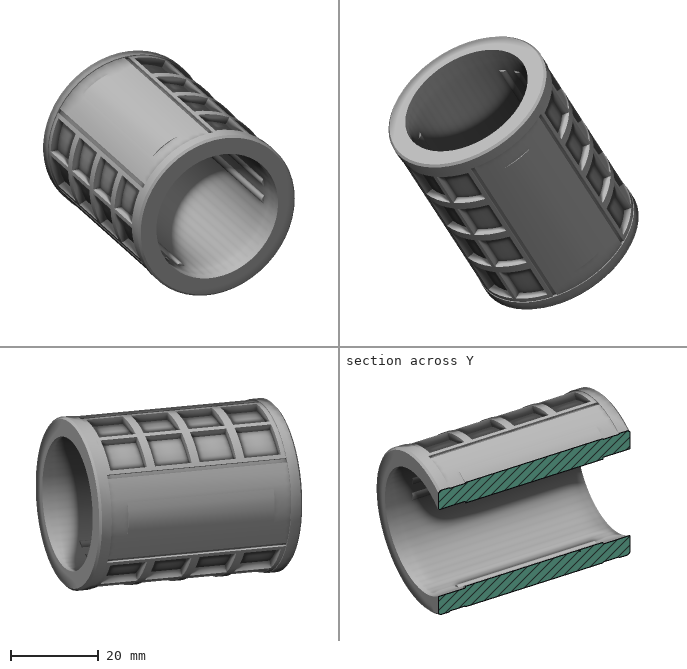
import cadquery as cq
import math

length = 50.0
flange_radius = 20.0
body_radius = 19.8
bore_radius = 15.5
flange_width = 2.9
rim_chamfer = 0.5

sector_count = 3
sector_angle = 360.0 / sector_count
pad_angles = [i * sector_angle for i in range(sector_count)]
grid_angles = [angle + sector_angle / 2 for angle in pad_angles]

pad_length = 36.0
pad_width = 8.0

pocket_floor_radius = 18.0
pocket_length = 9.0
pocket_pitch = 11.0
pockets_per_row = 4
grid_half_angle = 25.7
rib_width = 1.0

groove_width = 1.0
groove_depth = 0.5
groove_offset_angle = sector_angle / 4

bead_length = 36.0
bead_radius = 1.25
bead_tip_radius = 15.0
bead_offset_angle = 8.0

body_length = length - 2 * flange_width


def cylinder(radius, x_length):
    """Solid cylinder on the X axis, centred on X = 0."""
    return cq.Workplane("YZ").circle(radius).extrude(x_length / 2, both=True)


def tube(outer_radius, inner_radius, x_length):
    """Hollow cylinder on the X axis, centred on X = 0."""
    return cylinder(outer_radius, x_length).cut(cylinder(inner_radius, x_length))


def radial_bar(x_length, width, angle):
    """Flat bar reaching from the axis past the outside, pointing along angle."""
    reach = 2 * flange_radius
    bar = cq.Workplane("XY").box(x_length, reach, width, centered=(True, False, True))
    return bar.rotate((0, 0, 0), (1, 0, 0), angle)


def make_sleeve():
    """Body and two end flanges with chamfered rims, revolved about X."""
    end = length / 2
    shoulder = body_length / 2
    rim = end - rim_chamfer
    rim_radius = flange_radius - rim_chamfer
    profile = [
        (-end, bore_radius),
        (-end, rim_radius),
        (-rim, flange_radius),
        (-shoulder, flange_radius),
        (-shoulder, body_radius),
        (shoulder, body_radius),
        (shoulder, flange_radius),
        (rim, flange_radius),
        (end, rim_radius),
        (end, bore_radius),
    ]
    return cq.Workplane("XY").polyline(profile).close().revolve(360, (0, 0, 0), (1, 0, 0))


def make_pad(angle):
    """Crowned pad, rooted in the tube wall."""
    half_width = pad_width / 2
    edge_height = math.sqrt(body_radius**2 - half_width**2)
    pad = (
        cq.Workplane("YZ")
        .moveTo(pocket_floor_radius, -half_width)
        .lineTo(edge_height, -half_width)
        .threePointArc((flange_radius, 0), (edge_height, half_width))
        .lineTo(pocket_floor_radius, half_width)
        .close()
        .extrude(pad_length / 2, both=True)
    )
    return pad.rotate((0, 0, 0), (1, 0, 0), angle)


def make_pocket_grid(angle):
    """Cutter for one pocket grid; its outer walls are radial."""
    reach = 2 * flange_radius
    half_height = reach * math.tan(math.radians(grid_half_angle))
    shell = tube(flange_radius, pocket_floor_radius, pocket_length)
    wedge = (
        cq.Workplane("YZ")
        .polyline([(0, 0), (reach, -half_height), (reach, half_height)])
        .close()
        .extrude(pocket_length / 2, both=True)
    )
    pocket_pair = shell.intersect(wedge).cut(radial_bar(pocket_length, rib_width, 0))
    pocket_pair = pocket_pair.rotate((0, 0, 0), (1, 0, 0), angle)
    grid = cq.Workplane("XY")
    for i in range(pockets_per_row):
        x = (i - (pockets_per_row - 1) / 2) * pocket_pitch
        grid = grid.add(pocket_pair.translate((x, 0, 0)))
    return grid


def make_groove(angle):
    """Cutter for one lengthwise groove between the flanges."""
    shell = tube(flange_radius, body_radius - groove_depth, body_length)
    return shell.intersect(radial_bar(body_length, groove_width, angle))


def make_bead(angle):
    """Round bead along the bore, partly sunk in the wall."""
    bead = cylinder(bead_radius, bead_length).translate((0, bead_tip_radius + bead_radius, 0))
    return bead.rotate((0, 0, 0), (1, 0, 0), angle)


result = make_sleeve()
for pad_angle in pad_angles:
    result = result.union(make_pad(pad_angle))
    for side in (-1, 1):
        result = result.union(make_bead(pad_angle + side * bead_offset_angle))
for grid_angle in grid_angles:
    for pocket_pair in make_pocket_grid(grid_angle).vals():
        result = result.cut(cq.Workplane(pocket_pair))
    for side in (-1, 1):
        result = result.cut(make_groove(grid_angle + side * groove_offset_angle))